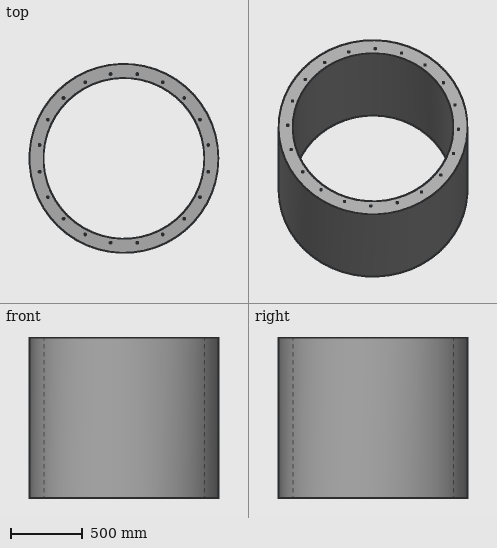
import cadquery as cq

outer_diameter = 1320.0
inner_diameter = 1120.0
height = 1120.0
sheet_thickness = 2.0

hole_diameter = 12.0
hole_count = 20
hole_circle_diameter = 1190.0
hole_pitch_angle = 360 / hole_count
first_hole_angle = hole_pitch_angle / 2


def make_ring(ring_outer_diameter, ring_inner_diameter, bottom, ring_height):
    """Upright ring centred on the Z axis, starting at the given height."""
    return (
        cq.Workplane("XY")
        .workplane(offset=bottom)
        .circle(ring_outer_diameter / 2)
        .circle(ring_inner_diameter / 2)
        .extrude(ring_height)
    )


def make_shell():
    """Inner and outer skins joined by a flat ring plate at each end."""
    envelope = make_ring(outer_diameter, inner_diameter, 0, height)
    cavity = make_ring(
        outer_diameter - 2 * sheet_thickness,
        inner_diameter + 2 * sheet_thickness,
        sheet_thickness,
        height - 2 * sheet_thickness,
    )
    return envelope.cut(cavity)


def make_hole_cutters():
    """Full-height pins on the hole circle, half a pitch off the X axis."""
    return (
        cq.Workplane("XY")
        .polarArray(hole_circle_diameter / 2, first_hole_angle, 360, hole_count)
        .circle(hole_diameter / 2)
        .extrude(height)
    )


result = make_shell().cut(make_hole_cutters())